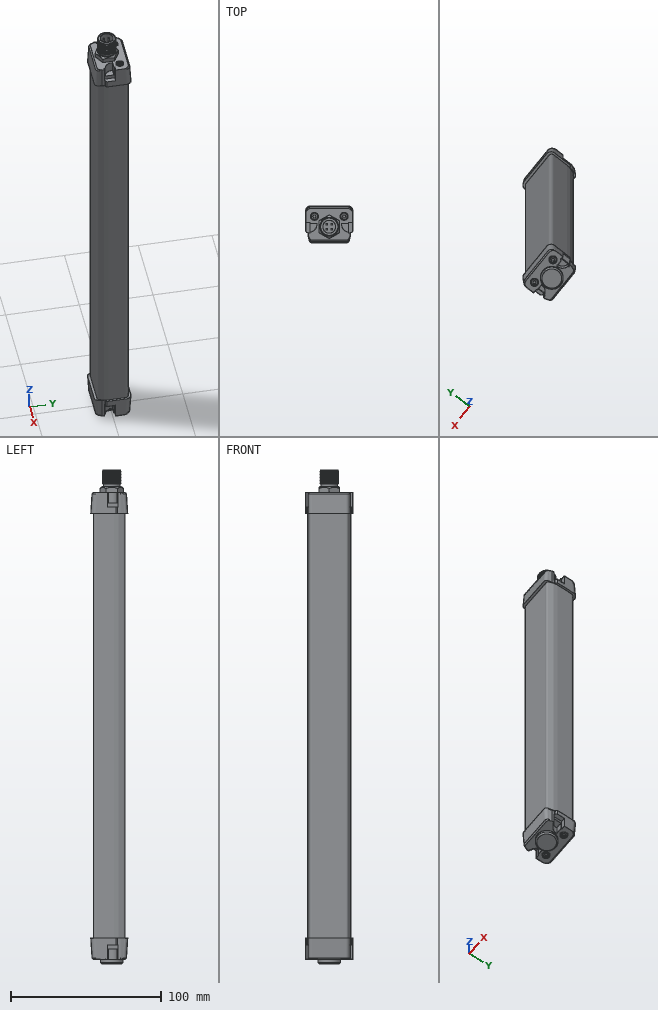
import cadquery as cq
import math

total_length = 328.5
plug_height = 3.0
connector_height = 15.0
cap_length = 14.0
cap_bottom_z = plug_height
cap_top_z = total_length - connector_height

body_half_width = 14.5
body_half_depth = 10.5
body_corner_radius = 2.3
body_front_half_width = 14.0
body_face_half_width = 11.2
body_step_start_y = -3.3
body_step_end_y = -6.2
body_front_corner_x = 12.8
body_front_corner_y = -9.5

cap_half_width = 15.8
cap_depth = 24.5
cap_corner_radius = 3.5
cap_front_half_width = 14.0
cap_flank_start_y = -7.5
cap_front_corner_x = 13.5
cap_face_half_width = 11.2
cap_front_corner_y = -10.2
wing_end_y = -5.5
wing_bevel = 1.0
cap_draft = 0.82
cap_edge_height = 1.0
cap_edge_inset = 1.0

notch_rear_y = 1.3
notch_front_y = -6.0
notch_inner_x = 12.8
notch_depth = 9.5
notch_overrun = 3.3
pocket_margin = 0.5
pocket_inner_x = 8.2
pocket_depth = 7.0
pocket_corner_radius = 5.3

screw_x = 10.0
screw_y = 5.3
screw_recess_radius = 2.5
screw_recess_depth = 2.0
screw_head_radius = 2.15
screw_head_height = 1.3
socket_across_corners = 2.3
socket_depth = 0.82

connector_y = -1.5
nut_across_corners = 15.8
nut_height = 4.0
nut_chamfer_height = 1.3
nut_top_radius = 6.2
thread_radius = 6.2
thread_length = 9.5
thread_pitch = 1.0
thread_depth = 0.5
neck_radius = 5.5
bore_radius = 4.3
bore_depth = 8.0
pin_count = 4
first_pin_angle = 45
pin_radius = 0.55
pin_circle_radius = 2.3
pin_length = 6.2
plug_radius = 7.5
plug_chamfer = 1.0


def mirrored_profile(half_width, rear_y, front_y, rear_radius, step_points, front_corner_x,
                     front_corner_y, face_half_width):
    """Closed outline symmetric about X = 0, with round rear corners and round front corners."""
    arc_offset = rear_radius * (1 - math.sqrt(0.5))
    front_bulge = math.sqrt(0.5)
    front_arc_x = face_half_width + (front_corner_x - face_half_width) * front_bulge
    front_arc_y = front_corner_y + (front_y - front_corner_y) * front_bulge

    outline = (
        cq.Workplane("XY")
        .moveTo(-half_width + rear_radius, rear_y)
        .lineTo(half_width - rear_radius, rear_y)
        .threePointArc((half_width - arc_offset, rear_y - arc_offset), (half_width, rear_y - rear_radius))
    )
    for x, y in step_points:
        outline = outline.lineTo(x, y)
    outline = (
        outline.lineTo(front_corner_x, front_corner_y)
        .threePointArc((front_arc_x, front_arc_y), (face_half_width, front_y))
        .lineTo(-face_half_width, front_y)
        .threePointArc((-front_arc_x, front_arc_y), (-front_corner_x, front_corner_y))
    )
    for x, y in reversed(step_points):
        outline = outline.lineTo(-x, y)
    return (
        outline.lineTo(-half_width, rear_y - rear_radius)
        .threePointArc((-half_width + arc_offset, rear_y - arc_offset), (-half_width + rear_radius, rear_y))
        .close()
    )


def housing():
    steps = [(body_half_width, body_step_start_y), (body_front_half_width, body_step_end_y)]
    profile = mirrored_profile(body_half_width, body_half_depth, -body_half_depth, body_corner_radius, steps,
                               body_front_corner_x, body_front_corner_y, body_face_half_width)
    length = cap_top_z - cap_bottom_z - 2 * cap_length
    return profile.extrude(length).translate((0, 0, cap_bottom_z + cap_length))


def cap_wire(depth_inset):
    steps = [
        (cap_half_width, wing_end_y + wing_bevel),
        (cap_half_width - wing_bevel, wing_end_y),
        (cap_front_half_width, wing_end_y),
        (cap_front_half_width, cap_flank_start_y),
    ]
    half_depth = cap_depth / 2 - depth_inset
    return mirrored_profile(cap_half_width, half_depth, -half_depth, cap_corner_radius, steps,
                            cap_front_corner_x, cap_front_corner_y + depth_inset, cap_face_half_width).val()


def cap_layer(start_z, start_inset, end_z, end_inset):
    """Lofted slice of the cap whose front and rear faces lean inwards."""
    start_wire = cap_wire(start_inset).translate(cq.Vector(0, 0, start_z))
    end_wire = cap_wire(end_inset).translate(cq.Vector(0, 0, end_z))
    return cq.Workplane(cq.Solid.makeLoft([start_wire, end_wire], True))


def notch_block(inner_x, rear_y, front_y, depth):
    """Block reaching from inner_x past the +X side, sunk from the outer end of the cap."""
    width = cap_half_width + notch_overrun - inner_x
    return (
        cq.Workplane("XY")
        .box(width, rear_y - front_y, depth, centered=False)
        .translate((inner_x, front_y, cap_length - depth))
    )


def cap_notch(side):
    """Side notch with a shallower inner pocket whose front corner is a large concave round."""
    pocket = (
        notch_block(pocket_inner_x, notch_rear_y - pocket_margin, notch_front_y + pocket_margin, pocket_depth)
        .edges("|Z and <X and <Y")
        .fillet(pocket_corner_radius)
    )
    notch = notch_block(notch_inner_x, notch_rear_y, notch_front_y, notch_depth).union(pocket)
    return notch if side > 0 else notch.mirror("YZ")


def cap_screw(side):
    recess_floor = cap_length - screw_recess_depth
    return (
        cq.Workplane("XY", origin=(side * screw_x, screw_y, recess_floor))
        .circle(screw_head_radius)
        .extrude(screw_head_height)
        .faces(">Z")
        .workplane()
        .polygon(6, socket_across_corners)
        .cutBlind(-socket_depth)
    )


def end_cap():
    """Cap standing on Z = 0 with its outer end on top."""
    edge_start_z = cap_length - cap_edge_height
    drafted_base = cap_layer(0, 0, edge_start_z, cap_draft)
    sloped_edge = cap_layer(edge_start_z, cap_draft, cap_length, cap_draft + cap_edge_inset)
    cap = drafted_base.union(sloped_edge)
    for side in (-1, 1):
        cap = cap.cut(cap_notch(side))
        recess = (
            cq.Workplane("XY", origin=(side * screw_x, screw_y, cap_length))
            .circle(screw_recess_radius)
            .extrude(-screw_recess_depth)
        )
        cap = cap.cut(recess).union(cap_screw(side))
    return cap


def hex_nut():
    """Hexagon with corners towards +Y and -Y and a conical top edge."""
    corner_radius = nut_across_corners / 2
    hexagon = cq.Workplane("XY").transformed(rotate=(0, 0, 90)).polygon(6, nut_across_corners).extrude(nut_height)
    cone = (
        cq.Workplane("XZ")
        .polyline([
            (0, 0),
            (corner_radius, 0),
            (corner_radius, nut_height - nut_chamfer_height),
            (nut_top_radius, nut_height),
            (0, nut_height),
        ])
        .close()
        .revolve(360, (0, 0, 0), (0, 1, 0))
    )
    return hexagon.intersect(cone)


def threaded_sleeve():
    """Neck and ring-grooved thread, turned about the connector axis."""
    thread_start = connector_height - thread_length
    root_radius = thread_radius - thread_depth
    ring_count = int(thread_length / thread_pitch)
    points = [(0, 0), (neck_radius, 0), (neck_radius, thread_start), (root_radius, thread_start)]
    for ring in range(ring_count):
        ring_z = thread_start + ring * thread_pitch
        points.append((thread_radius, ring_z + thread_pitch / 2))
        points.append((root_radius, ring_z + thread_pitch))
    points += [(root_radius, connector_height), (0, connector_height)]
    return cq.Workplane("XZ").polyline(points).close().revolve(360, (0, 0, 0), (0, 1, 0))


def connector():
    bore_floor = connector_height - bore_depth
    bore = cq.Workplane("XY", origin=(0, 0, bore_floor)).circle(bore_radius).extrude(bore_depth)
    pins = (
        cq.Workplane("XY", origin=(0, 0, bore_floor))
        .polarArray(pin_circle_radius, first_pin_angle, 360, pin_count)
        .circle(pin_radius)
        .extrude(pin_length)
    )
    return hex_nut().union(threaded_sleeve()).cut(bore).union(pins)


def end_plug():
    return cq.Workplane("XY").circle(plug_radius).extrude(plug_height).faces("<Z").chamfer(plug_chamfer)


top_cap = end_cap().translate((0, 0, cap_top_z - cap_length))
bottom_cap = end_cap().mirror("XY").translate((0, 0, cap_bottom_z + cap_length))

result = (
    housing()
    .union(top_cap)
    .union(bottom_cap)
    .union(connector().translate((0, connector_y, cap_top_z)))
    .union(end_plug().translate((0, connector_y, 0)))
)